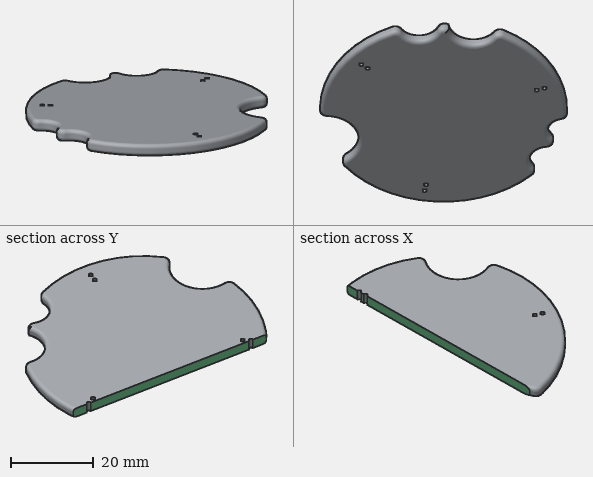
import cadquery as cq
import math

disc_radius = 29.95
thickness = 3.0
rim_fillet = 1.0
corner_radius = 1.8
hole_diameter = 1.0
hole_radii = (24.05, 26.0)
hole_angles = (90, 210, 330)
overshoot = 1.1

right_bite = (32.2, 8.0)
upper_left_bite = (128.4, 5.05)
lower_left_bite = (153.9, 6.05)
lower_left_core = (153.9, 5.65)
bottom_left_bite = (241.6, 4.0)
bottom_bite = (262.1, 4.5)


def polar(radius, angle):
    """Point at a distance from the disc centre, angle in degrees."""
    return (radius * math.cos(math.radians(angle)), radius * math.sin(math.radians(angle)))


def cylinder(center, radius):
    return cq.Workplane("XY").center(*center).circle(radius).extrude(thickness)


def corner_cutter(round_center, outline):
    """Material outside a corner rounding, within the given outline."""
    block = cq.Workplane("XY").polyline(outline).close().extrude(thickness)
    return block.cut(cylinder(round_center, corner_radius))


def rim_corner_cutter(bite, side):
    """Rounding tangent to the rim from inside and to the bite from outside."""
    bite_angle, bite_radius = bite
    center_distance = disc_radius - corner_radius
    reach = bite_radius + corner_radius
    cosine = (disc_radius**2 + center_distance**2 - reach**2) / (2 * disc_radius * center_distance)
    round_angle = bite_angle + side * math.degrees(math.acos(cosine))
    round_center = polar(center_distance, round_angle)
    outline = [
        round_center,
        polar(disc_radius, bite_angle),
        polar(disc_radius * overshoot, bite_angle),
        polar(disc_radius * overshoot, round_angle),
    ]
    return corner_cutter(round_center, outline)


def tooth_cutter(first_bite, second_bite):
    """Rounding of the tooth between two neighbouring bites, tangent to both."""
    first_angle, first_radius = first_bite
    second_angle, second_radius = second_bite
    first_x, first_y = polar(disc_radius, first_angle)
    second_x, second_y = polar(disc_radius, second_angle)
    spacing = math.hypot(second_x - first_x, second_y - first_y)
    along_x = (second_x - first_x) / spacing
    along_y = (second_y - first_y) / spacing
    first_reach = first_radius + corner_radius
    second_reach = second_radius + corner_radius
    along = (spacing**2 + first_reach**2 - second_reach**2) / (2 * spacing)
    inward = math.sqrt(first_reach**2 - along**2)
    round_center = (
        first_x + along * along_x - inward * along_y,
        first_y + along * along_y + inward * along_x,
    )
    outline = [
        round_center,
        (first_x, first_y),
        polar(disc_radius * overshoot, (first_angle + second_angle) / 2),
        (second_x, second_y),
    ]
    return corner_cutter(round_center, outline)


def rounded_plate(bites, tooth_pairs, rim_corners):
    """Disc with bites, rounded teeth and corners, and both outline edges filleted."""
    plate = cylinder((0, 0), disc_radius)
    for angle, radius in bites:
        plate = plate.cut(cylinder(polar(disc_radius, angle), radius))
    for first_bite, second_bite in tooth_pairs:
        plate = plate.cut(tooth_cutter(first_bite, second_bite))
    for bite, side in rim_corners:
        plate = plate.cut(rim_corner_cutter(bite, side))
    return plate.faces("<Z or >Z").edges().fillet(rim_fillet)


outline_plate = rounded_plate(
    bites=(right_bite, upper_left_bite, lower_left_core, bottom_left_bite, bottom_bite),
    tooth_pairs=((upper_left_bite, lower_left_core), (bottom_left_bite, bottom_bite)),
    rim_corners=(
        (right_bite, 1),
        (right_bite, -1),
        (upper_left_bite, -1),
        (lower_left_core, 1),
        (bottom_left_bite, -1),
        (bottom_bite, 1),
    ),
)

trimming_plate = rounded_plate(
    bites=(lower_left_bite,),
    tooth_pairs=(),
    rim_corners=((lower_left_bite, 1), (lower_left_bite, -1)),
)
plate = outline_plate.intersect(trimming_plate)

hole_points = [polar(radius, angle) for angle in hole_angles for radius in hole_radii]
holes = cq.Workplane("XY").pushPoints(hole_points).circle(hole_diameter / 2).extrude(thickness)
result = plate.cut(holes)